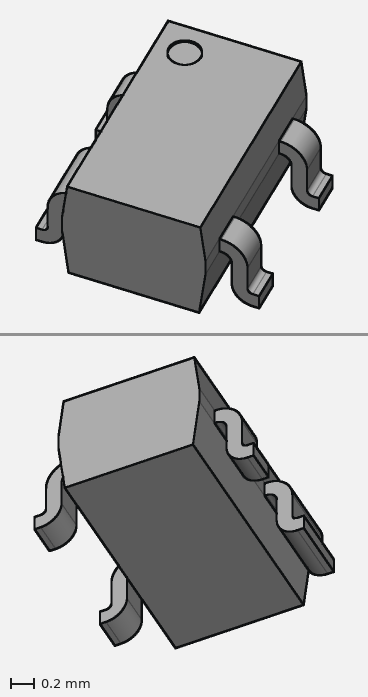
import cadquery as cq
import math

overall_width = 2.1
overall_height = 1.1
body_length = 2.2
body_width = 1.35
standoff = 0.05
draft_angle = 7.0

lead_thickness = 0.15
lead_top = 0.7
lead_shoulder = 0.11
upper_bend_radius = 0.1
lower_bend_radius = 0.05
narrow_lead = 0.3
wide_lead = 0.6
lead_row_y = 0.65

band_margin = 0.0033
band_top = lead_top + band_margin
band_bottom = lead_top - lead_thickness - band_margin

mark_diameter = 0.3
mark_depth = 0.02
mark_x = -0.34
mark_y = 0.8


def make_housing():
    """Block with drafted sides above and below a straight band, and a round mark on top."""
    half_band = body_width / 2
    draft = math.tan(math.radians(draft_angle))
    half_top = half_band - (overall_height - band_top) * draft
    half_bottom = half_band - (band_bottom - standoff) * draft
    block = (
        cq.Workplane("XZ")
        .moveTo(-half_bottom, standoff)
        .lineTo(half_bottom, standoff)
        .lineTo(half_band, band_bottom)
        .lineTo(half_band, band_top)
        .lineTo(half_top, overall_height)
        .lineTo(-half_top, overall_height)
        .lineTo(-half_band, band_top)
        .lineTo(-half_band, band_bottom)
        .close()
        .extrude(body_length / 2, both=True)
    )
    mark = (
        cq.Workplane("XY")
        .workplane(offset=overall_height - mark_depth)
        .center(mark_x, mark_y)
        .circle(mark_diameter / 2)
        .extrude(mark_depth)
    )
    return block.cut(mark)


def make_lead(side, width, center_y):
    """Gull-wing lead from the housing band to the foot; side is -1 for -X or +1 for +X."""
    root = -body_width / 2
    tip = -overall_width / 2
    outer_face = tip + lead_shoulder
    inner_face = outer_face + lead_thickness
    upper_outer_radius = upper_bend_radius + lead_thickness
    lower_outer_radius = lower_bend_radius + lead_thickness
    upper_bend_x = inner_face + upper_bend_radius
    upper_bend_z = lead_top - upper_outer_radius
    lower_bend_x = outer_face - lower_bend_radius
    lower_bend_z = lower_outer_radius
    lead = (
        cq.Workplane("XZ")
        .moveTo(root, lead_top)
        .lineTo(upper_bend_x, lead_top)
        .radiusArc((outer_face, upper_bend_z), -upper_outer_radius)
        .lineTo(outer_face, lower_bend_z)
        .radiusArc((lower_bend_x, lead_thickness), lower_bend_radius)
        .lineTo(tip, lead_thickness)
        .lineTo(tip, 0)
        .lineTo(lower_bend_x, 0)
        .radiusArc((inner_face, lower_bend_z), -lower_outer_radius)
        .lineTo(inner_face, upper_bend_z)
        .radiusArc((upper_bend_x, lead_top - lead_thickness), upper_bend_radius)
        .lineTo(root, lead_top - lead_thickness)
        .close()
        .extrude(width / 2, both=True)
    )
    if side > 0:
        lead = lead.mirror("YZ")
    return lead.translate((0, center_y, 0))


wide_lead_y = -lead_row_y + (wide_lead - narrow_lead) / 2
lead_places = [
    (-1, narrow_lead, lead_row_y),
    (-1, wide_lead, wide_lead_y),
    (1, narrow_lead, lead_row_y),
    (1, narrow_lead, -lead_row_y),
]

housing = make_housing()
leads = [make_lead(side, width, center_y) for side, width, center_y in lead_places]

result = cq.Compound.makeCompound([housing.val(), *[lead.val() for lead in leads]])